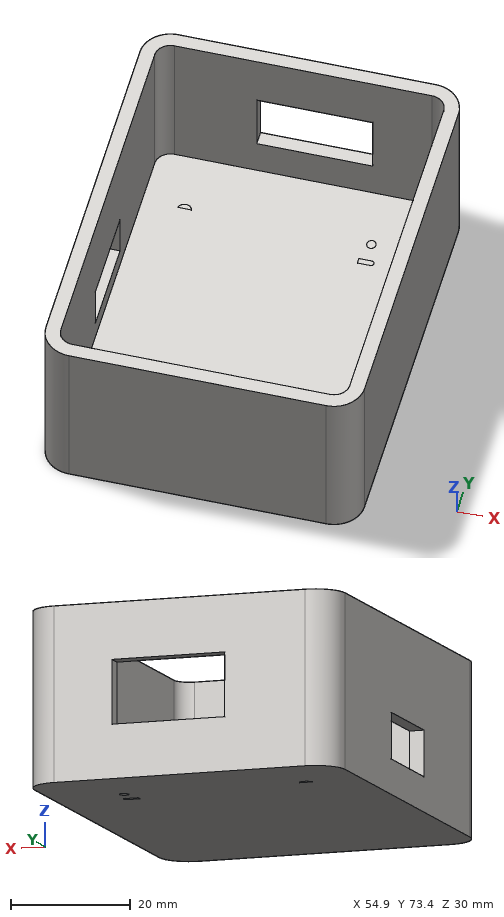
import cadquery as cq

length_x = 54.9
length_y = 73.4
height = 30.0
wall = 2.6
floor = 2.5
outer_radius = 5.3
inner_radius = outer_radius - wall

side_window_width = 16.5
side_window_height = 7.9
side_window_y = -0.1
side_window_sill = 6.0

back_window_width = 20.0
back_window_height = 11.0
back_window_x = 2.0
back_window_sill = 9.25

arch_width = 2.35
arch_height = 0.95
arch_x = -17.55
arch_base_y = 22.9

oval_width = 1.55
oval_length = 1.75
oval_x = 14.6
oval_y = 23.0

tab_width = 2.7
tab_height = 1.0
tab_left_x = 13.35
tab_y = 18.95


def make_shell():
    """Outer block with the open cavity removed."""
    block = cq.Workplane("XY").rect(length_x, length_y).extrude(height)
    block = block.edges("|Z").fillet(outer_radius)
    cavity = (
        cq.Workplane("XY", origin=(0, 0, floor))
        .rect(length_x - 2 * wall, length_y - 2 * wall)
        .extrude(height - floor)
        .edges("|Z")
        .fillet(inner_radius)
    )
    return block.cut(cavity)


def make_window(size_x, size_y, size_z, center_x, center_y, sill):
    """Rectangular cutter centred in plan, with its lower face at the sill height."""
    return cq.Workplane("XY", origin=(center_x, center_y, sill)).rect(size_x, size_y).extrude(size_z)


def make_side_window():
    """Cutter for the opening in the -X wall."""
    wall_middle_x = -(length_x - wall) / 2
    return make_window(
        wall, side_window_width, side_window_height, wall_middle_x, side_window_y, side_window_sill
    )


def make_back_window():
    """Cutter for the opening in the +Y wall."""
    wall_middle_y = (length_y - wall) / 2
    return make_window(
        back_window_width, wall, back_window_height, back_window_x, wall_middle_y, back_window_sill
    )


def make_arch_insert():
    """Insert with a straight base and an arched top."""
    return (
        cq.Workplane("XY", origin=(arch_x, arch_base_y, 0))
        .moveTo(-arch_width / 2, 0)
        .threePointArc((0, arch_height), (arch_width / 2, 0))
        .close()
        .extrude(floor)
    )


def make_oval_insert():
    """Insert with an elliptical outline."""
    return (
        cq.Workplane("XY", origin=(oval_x, oval_y, 0))
        .ellipse(oval_width / 2, oval_length / 2)
        .extrude(floor)
    )


def make_tab_insert():
    """Insert with a square left end and a round right end."""
    end_radius = tab_height / 2
    straight = tab_width - end_radius
    return (
        cq.Workplane("XY", origin=(tab_left_x, tab_y, 0))
        .moveTo(0, -end_radius)
        .lineTo(straight, -end_radius)
        .threePointArc((tab_width, 0), (straight, end_radius))
        .lineTo(0, end_radius)
        .close()
        .extrude(floor)
    )


arch_insert = make_arch_insert()
oval_insert = make_oval_insert()
tab_insert = make_tab_insert()

housing = make_shell().cut(make_side_window()).cut(make_back_window())
for insert in (arch_insert, oval_insert, tab_insert):
    housing = housing.cut(insert)

result = cq.Compound.makeCompound(
    [housing.val(), arch_insert.val(), oval_insert.val(), tab_insert.val()]
)